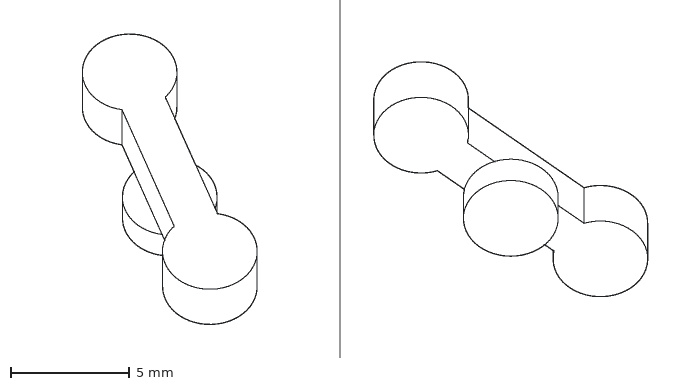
import cadquery as cq

total_length = 13.99
disc_diameter = 4.0
bar_width = 1.95
link_height = 2.5
pin_height = 1.5

end_offset = (total_length - disc_diameter) / 2

bar = cq.Workplane("XY").rect(2 * end_offset, bar_width).extrude(link_height)
round_ends = (
    cq.Workplane("XY")
    .pushPoints([(-end_offset, 0), (end_offset, 0)])
    .circle(disc_diameter / 2)
    .extrude(link_height)
)

pin = cq.Workplane("XY").circle(disc_diameter / 2).extrude(-pin_height)

result = bar.union(round_ends).union(pin)